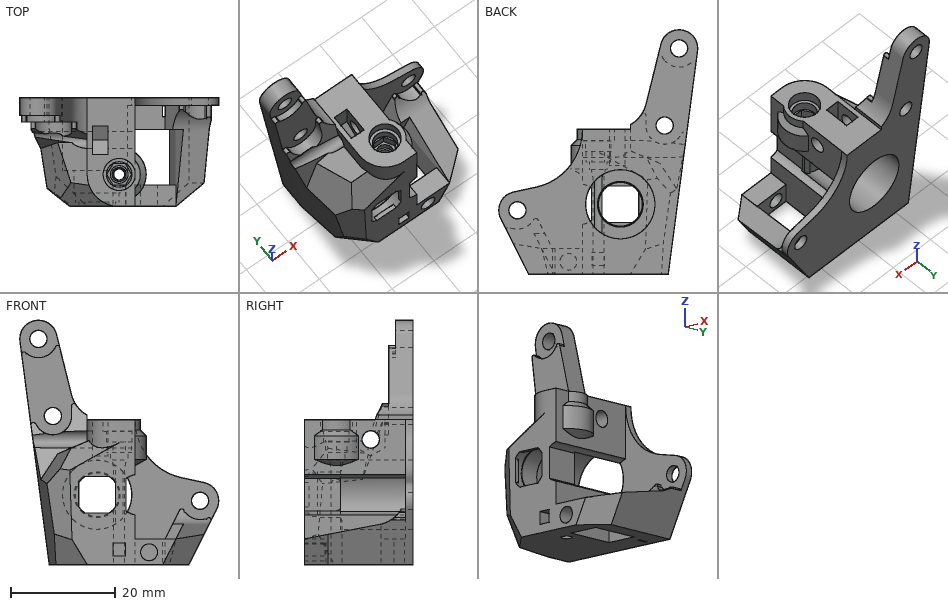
import math

import cadquery as cq


TOTAL_WIDTH = 38.24
TOTAL_DEPTH = 20.9
TOTAL_HEIGHT = 47.01
FAR = 100.0

LUG_RADIUS = 3.6
SCREW_DIAMETER = 3.25
UPPER_LUG = (LUG_RADIUS, TOTAL_HEIGHT - LUG_RADIUS)
MIDDLE_LUG = (6.37, 28.6)
RIGHT_LUG = (TOTAL_WIDTH - LUG_RADIUS, 12.32)
UPPER_LUG_THICKNESS = 3.4
ARM_THICKNESS = 4.7
PLATE_THICKNESS = 1.5
TIP_RADIUS = 0.45
MIDDLE_LUG_LEFT_TIP = (2.58, 26.93)
MIDDLE_LUG_RIGHT_TIP = (MIDDLE_LUG[0] + LUG_RADIUS + TIP_RADIUS, 30.54)

BLOCK_LEFT = 12.96
BLOCK_RIGHT = 22.16
BLOCK_TOP = 27.93
BLOCK_CORNER_RADIUS = 6.15
BLOCK_BASE = 19.0
BOSS_CENTER = (BLOCK_LEFT + BLOCK_CORNER_RADIUS, BLOCK_CORNER_RADIUS - TOTAL_DEPTH)

FLOOR_LEFT = 5.66
FLOOR_RIGHT = 32.47
ARM_ROOT_X = 11.15
ARM_FILLET = 6.3
PLATE_CORNER = (BLOCK_RIGHT, 18.72)
PLATE_FILLET = 11.3

FRONT = -TOTAL_DEPTH
SIDE_FOLD_Y = (-5.95, -6.2)
FLOOR_SIDE = (6.85, -15.0, 0.0)
LOW_SIDE = (6.65, -18.2, 5.84)
LOW_FRONT = (10.05, FRONT, 4.85)
MID_BACK = (4.05, -9.77, 16.43)
MID_SIDE = (5.24, -17.4, 15.6)
MID_FRONT = (9.62, FRONT, 18.2)
HIGH_CORNER = (9.85, -16.33, 22.4)
HIGH_BACK = (7.3, -8.72, 21.35)
CREASE_FRONT = (19.05, FRONT, 23.45)
ROOF_AT_BLOCK = (BLOCK_LEFT, -10.0, 23.77)
SLOPE_TOP_LEFT = (2.2, -5.9, 27.2)
SLOPE_TOP_RIGHT = (BLOCK_LEFT, -7.3, BLOCK_TOP)

FRAME_HEIGHT = 5.0
POCKET_BACK = -6.15
POCKET_FRONT = -16.75
POCKET_RIGHT_FLOOR = 28.74
WALL_INNER_BACK = 27.94
WALL_INNER_FRONT = 30.0
CORNER_CUT_FLOOR = (27.45, FRONT, 0.0)
CORNER_CUT_TOP = (WALL_INNER_FRONT, FRONT, FRAME_HEIGHT)
CORNER_CUT_SIDE = (35.24, -16.5, 5.75)
RAMP_BACK = (-6.4, 7.8)
RAMP_FRONT = (FRONT, FRAME_HEIGHT)
RAMP_CORNER_FILLET = 6.0
RAMP_TOP = 15.0

BOSS_RADIUS = 5.2
BOSS_NECK_RADIUS = 4.05
BOSS_CHAMFER_TOP = 25.92
BOSS_CHAMFER_BASE = 24.8
BOSS_BASE = 20.27
BOSS_CONE_TIP_RADIUS = 3.05
BOSS_CONE_BASE = 19.1
BOSS_STEPS = [(3.08, 2.3), (2.45, 4.3)]
HEX_ACROSS_FLATS = 4.13
HEX_DEPTH = 6.3
SEAT_RADIUS = 1.7
SEAT_DEPTH = 7.8
FILAMENT_RADIUS = 1.05
FILAMENT_ENTRY_RADIUS = 1.35
FILAMENT_ENTRY_DEPTH = 9.3

BORE_CENTER = (14.87, 13.48)
BORE_STEPS = [(6.64, 14.0), (4.4, 18.35)]
WINDOW_WALL = 0.9
WINDOW_SIZE = 7.0
WINDOW_CORNER_RADIUS = 4.2
NOTCH_X = 20.44
IDLER_X = 22.9
IDLER_RADIUS = 3.95

CROSS_Y = -8.15
CROSS_Z = 24.1
CROSS_DIAMETER = 3.3
NUT_WIDTH = 5.5
NUT_THICKNESS = 3.0
NUT_CENTER_X = 15.46

SQUARE_CENTER = (19.1, 2.98)
SQUARE_WIDTH = 2.45
SQUARE_HEIGHT = 2.55
SQUARE_DEPTH = 4.0
FRONT_HOLE_CENTER = (24.85, 2.43)
SLOT_WIDTH = 0.5
SLOT_Y = (-3.65, -1.65)


def forward(depth_start=0.0):
    """XZ sketch plane; positive extrusion runs forward (-Y) from the given depth."""
    return cq.Workplane("XZ", origin=(0, -depth_start, 0))


def box(x_range, y_range, z_range):
    size = [high - low for low, high in (x_range, y_range, z_range)]
    return cq.Workplane("XY").box(*size, centered=False).translate((x_range[0], y_range[0], z_range[0]))


def beyond(a, b, c, outward):
    """Everything on the outward side of the plane through three points."""
    normal = (cq.Vector(*b) - cq.Vector(*a)).cross(cq.Vector(*c) - cq.Vector(*a))
    if normal.dot(cq.Vector(*outward)) < 0:
        normal = normal * -1
    return cq.Workplane(cq.Plane(origin=a, normal=normal.toTuple())).rect(FAR, FAR).extrude(FAR)


def tangent_point(point, center, radius, side):
    """Where a line from point touches a circle; side is +1 or -1 for the two choices."""
    dx = point[0] - center[0]
    dz = point[1] - center[1]
    angle = math.atan2(dz, dx) + side * math.acos(radius / math.hypot(dx, dz))
    return (center[0] + radius * math.cos(angle), center[1] + radius * math.sin(angle))


def tip_center(lug, edge_start, edge_end):
    """Center of the round tip that touches the lug circle and an edge with material on its left."""
    length = math.dist(edge_start, edge_end)
    along = ((edge_end[0] - edge_start[0]) / length, (edge_end[1] - edge_start[1]) / length)
    start = (edge_start[0] - along[1] * TIP_RADIUS, edge_start[1] + along[0] * TIP_RADIUS)
    to_lug = (lug[0] - start[0], lug[1] - start[1])
    run = to_lug[0] * along[0] + to_lug[1] * along[1]
    offset = to_lug[1] * along[0] - to_lug[0] * along[1]
    half_chord = math.sqrt((LUG_RADIUS + TIP_RADIUS) ** 2 - offset**2)
    step = run - half_chord if along[1] > 0 else run + half_chord
    return (start[0] + along[0] * step, start[1] + along[1] * step)


FLOOR_LEFT_CORNER = (FLOOR_LEFT, 0.0)
FLOOR_RIGHT_CORNER = (FLOOR_RIGHT, 0.0)
ARM_ROOT = (ARM_ROOT_X, BLOCK_TOP)
LEFT_TANGENT = tangent_point(FLOOR_LEFT_CORNER, UPPER_LUG, LUG_RADIUS, -1)
ARM_TANGENT = tangent_point(ARM_ROOT, UPPER_LUG, LUG_RADIUS, 1)
RIGHT_TANGENT = tangent_point(FLOOR_RIGHT_CORNER, RIGHT_LUG, LUG_RADIUS, 1)
PLATE_TANGENT = tangent_point(PLATE_CORNER, RIGHT_LUG, LUG_RADIUS, -1)
SIDE_FOLD_LOW = (FLOOR_LEFT, SIDE_FOLD_Y[0], 0.0)
SIDE_FOLD_HIGH = (LEFT_TANGENT[0], SIDE_FOLD_Y[1], LEFT_TANGENT[1])
RIGHT_SLOPE = (RIGHT_TANGENT[0] - FLOOR_RIGHT) / RIGHT_TANGENT[1]


def on_right_slope(x_at_frame_top, z):
    """X at height z of a line parallel to the right-hand edge of the part."""
    return x_at_frame_top + RIGHT_SLOPE * (z - FRAME_HEIGHT)


def plate_outline(thickness):
    """Arm, tower back and right-hand lug as one flat plate."""
    lug_top = (UPPER_LUG[0], UPPER_LUG[1] + LUG_RADIUS)
    lug_right = (RIGHT_LUG[0] + LUG_RADIUS, RIGHT_LUG[1])
    plate = (
        forward()
        .moveTo(*FLOOR_LEFT_CORNER)
        .lineTo(*FLOOR_RIGHT_CORNER)
        .lineTo(*RIGHT_TANGENT)
        .threePointArc(lug_right, PLATE_TANGENT)
        .lineTo(*PLATE_CORNER)
        .lineTo(PLATE_CORNER[0], BLOCK_TOP)
        .lineTo(*ARM_ROOT)
        .lineTo(*ARM_TANGENT)
        .threePointArc(lug_top, LEFT_TANGENT)
        .close()
        .extrude(thickness)
    )
    for corner, radius in ((PLATE_CORNER, PLATE_FILLET), (ARM_ROOT, ARM_FILLET)):
        edge_point = (corner[0], -thickness / 2, corner[1])
        plate = plate.edges(cq.NearestToPointSelector(edge_point)).fillet(radius)
    above_tower = box((BLOCK_LEFT, FAR), (-FAR, FAR), (BLOCK_TOP, FAR))
    return plate.cut(above_tower)


def back_plate():
    right_part = box((BLOCK_RIGHT, FAR), (-FAR, -PLATE_THICKNESS), (0, FAR))
    return plate_outline(ARM_THICKNESS).cut(right_part)


def faceted_shell():
    """Left half of the housing: a block trimmed by flat facets."""
    shell = box((0, BLOCK_RIGHT), (FRONT, 0), (0, BLOCK_TOP))
    facets = [
        (FLOOR_SIDE, LOW_SIDE, LOW_FRONT, (0, -1, -1)),
        (MID_SIDE, MID_FRONT, LOW_FRONT, (-1, -1, 0)),
        (MID_BACK, MID_SIDE, HIGH_CORNER, (-1, 0, 1)),
        (HIGH_CORNER, MID_FRONT, CREASE_FRONT, (0, -1, 1)),
        (HIGH_BACK, HIGH_CORNER, ROOF_AT_BLOCK, (0, 0, 1)),
    ]
    for a, b, c, outward in facets:
        shell = shell.cut(beyond(a, b, c, outward))
    return shell.intersect(plate_outline(TOTAL_DEPTH))


def arm_slope():
    """Steep face that leads from the shell roof up to the arm."""
    wedge = plate_outline(TOTAL_DEPTH / 2)
    wedge = wedge.cut(box((BLOCK_RIGHT, FAR), (-FAR, FAR), (0, FAR)))
    return wedge.cut(beyond(MID_BACK, SLOPE_TOP_LEFT, SLOPE_TOP_RIGHT, (0, -1, 1)))


def tower_block():
    block = box((BLOCK_LEFT, BLOCK_RIGHT), (FRONT, 0), (BLOCK_BASE, BLOCK_TOP))
    return block.edges("|Z and <X and <Y").fillet(BLOCK_CORNER_RADIUS)


def boss():
    half_profile = [
        (0, BOSS_CONE_BASE),
        (BOSS_CONE_TIP_RADIUS, BOSS_CONE_BASE),
        (BOSS_RADIUS, BOSS_BASE),
        (BOSS_RADIUS, BOSS_CHAMFER_BASE),
        (BOSS_NECK_RADIUS, BOSS_CHAMFER_TOP),
        (BOSS_NECK_RADIUS, BLOCK_TOP),
        (0, BLOCK_TOP),
    ]
    turned = cq.Workplane("XZ").polyline(half_profile).close().revolve(360, (0, 0), (0, 1))
    right_half = box((BOSS_CENTER[0], FAR), (-FAR, FAR), (0, FAR))
    return turned.translate((*BOSS_CENTER, 0)).intersect(right_half)


def right_frame():
    """Low frame and leaning wall that carry the right-hand lug."""
    wall_top_x = on_right_slope(FLOOR_RIGHT + RIGHT_SLOPE * FRAME_HEIGHT, RAMP_TOP)
    band = [(BLOCK_RIGHT, 0), FLOOR_RIGHT_CORNER, (wall_top_x, RAMP_TOP), (BLOCK_RIGHT, RAMP_TOP)]
    frame = forward().polyline(band).close().extrude(TOTAL_DEPTH)
    ramp_slope = (RAMP_BACK[1] - RAMP_FRONT[1]) / (RAMP_BACK[0] - RAMP_FRONT[0])
    corner_z = RAMP_BACK[1] - ramp_slope * (RAMP_BACK[0] + PLATE_THICKNESS)
    ramp = [
        (0, 0),
        (FRONT, 0),
        RAMP_FRONT,
        (-PLATE_THICKNESS, corner_z),
        (-PLATE_THICKNESS, RAMP_TOP),
        (0, RAMP_TOP),
    ]
    side = cq.Workplane("YZ").polyline(ramp).close().extrude(FAR)
    corner = cq.NearestToPointSelector((FAR / 2, -PLATE_THICKNESS, corner_z))
    frame = frame.intersect(side.edges(corner).fillet(RAMP_CORNER_FILLET))

    for inner_x, front, back in (
        (WALL_INNER_BACK, POCKET_BACK, -PLATE_THICKNESS),
        (WALL_INNER_FRONT, FRONT, POCKET_BACK),
    ):
        opening = [
            (BLOCK_RIGHT, FRAME_HEIGHT),
            (inner_x, FRAME_HEIGHT),
            (on_right_slope(inner_x, RAMP_TOP), RAMP_TOP),
            (BLOCK_RIGHT, RAMP_TOP),
        ]
        frame = frame.cut(forward(-back).polyline(opening).close().extrude(back - front))

    frame = frame.cut(beyond(CORNER_CUT_FLOOR, CORNER_CUT_TOP, CORNER_CUT_SIDE, (1, -1, 0)))
    pocket = [
        (BLOCK_RIGHT, 0),
        (POCKET_RIGHT_FLOOR, 0),
        (WALL_INNER_FRONT, FRAME_HEIGHT),
        (BLOCK_RIGHT, FRAME_HEIGHT),
    ]
    pocket_depth = POCKET_BACK - POCKET_FRONT
    frame = frame.cut(forward(-POCKET_BACK).polyline(pocket).close().extrude(pocket_depth))
    slot = box((WALL_INNER_BACK - SLOT_WIDTH, WALL_INNER_BACK), SLOT_Y, (0, FRAME_HEIGHT))
    return frame.cut(slot).intersect(plate_outline(TOTAL_DEPTH))


def lug_clearance(lug, depth, left_tip, right_tip):
    """Room for a screw head in front of a lug, leaving a rounded tip at each side."""
    side_room = 4.0
    edge = [
        (left_tip[0] - side_room, left_tip[1]),
        left_tip,
        right_tip,
        (right_tip[0] + side_room, right_tip[1]),
        (right_tip[0] + side_room, TOTAL_HEIGHT),
        (left_tip[0] - side_room, TOTAL_HEIGHT),
    ]
    room = forward(depth).polyline(edge).close().extrude(TOTAL_DEPTH)
    tips = forward(depth).pushPoints([left_tip, right_tip]).circle(TIP_RADIUS).extrude(TOTAL_DEPTH)
    room = room.cut(tips)
    return room.union(forward(depth).center(*lug).circle(LUG_RADIUS).extrude(TOTAL_DEPTH))


def cut_lugs(body):
    upper_tips = (
        tip_center(UPPER_LUG, LEFT_TANGENT, FLOOR_LEFT_CORNER),
        tip_center(UPPER_LUG, ARM_ROOT, ARM_TANGENT),
    )
    wall_edge_top = (on_right_slope(WALL_INNER_BACK, RAMP_TOP), RAMP_TOP)
    right_tips = (
        tip_center(RIGHT_LUG, wall_edge_top, (WALL_INNER_BACK, FRAME_HEIGHT)),
        tip_center(RIGHT_LUG, FLOOR_RIGHT_CORNER, RIGHT_TANGENT),
    )
    body = body.cut(lug_clearance(UPPER_LUG, UPPER_LUG_THICKNESS, *upper_tips))
    body = body.cut(lug_clearance(MIDDLE_LUG, ARM_THICKNESS, MIDDLE_LUG_LEFT_TIP, MIDDLE_LUG_RIGHT_TIP))
    beside_middle = (MIDDLE_LUG[0], MIDDLE_LUG[0] + LUG_RADIUS)
    body = body.cut(box(beside_middle, (-FAR, -ARM_THICKNESS), (MIDDLE_LUG[1], TOTAL_HEIGHT)))
    body = body.cut(lug_clearance(RIGHT_LUG, PLATE_THICKNESS, *right_tips))
    holes = forward().pushPoints([UPPER_LUG, MIDDLE_LUG, RIGHT_LUG]).circle(SCREW_DIAMETER / 2)
    return body.cut(holes.extrude(TOTAL_DEPTH))


def boss_hole():
    top = cq.Workplane("XY", origin=(*BOSS_CENTER, BLOCK_TOP))
    hole = top.circle(FILAMENT_RADIUS).extrude(-BLOCK_TOP)
    for radius, depth in (*BOSS_STEPS, (SEAT_RADIUS, SEAT_DEPTH)):
        hole = hole.union(top.circle(radius).extrude(-depth))
    seat = top.workplane(offset=-SEAT_DEPTH)
    entry_height = FILAMENT_ENTRY_DEPTH - SEAT_DEPTH
    entry = seat.circle(FILAMENT_ENTRY_RADIUS).workplane(offset=-entry_height).circle(FILAMENT_RADIUS).loft()
    hole = hole.union(entry)
    hex_diameter = HEX_ACROSS_FLATS / math.cos(math.pi / 6)
    return hole.union(top.polygon(6, hex_diameter).extrude(-HEX_DEPTH))


def gear_bore():
    """Stepped gear bore, its front window and the notch for an idler gear beside it."""
    axis = forward().center(*BORE_CENTER)
    bore = axis.circle(WINDOW_CORNER_RADIUS).extrude(TOTAL_DEPTH - WINDOW_WALL)
    for radius, depth in BORE_STEPS:
        bore = bore.union(axis.circle(radius).extrude(depth))
    round_window = axis.circle(WINDOW_CORNER_RADIUS).extrude(TOTAL_DEPTH)
    square = axis.rect(WINDOW_SIZE, WINDOW_SIZE).extrude(TOTAL_DEPTH)
    idler_axis = forward(PLATE_THICKNESS).center(IDLER_X, BORE_CENTER[1])
    idler = idler_axis.circle(IDLER_RADIUS).extrude(TOTAL_DEPTH)
    notch = idler.intersect(box((NOTCH_X, BLOCK_RIGHT), (-FAR, 0), (0, BLOCK_TOP)))
    return bore.union(round_window.intersect(square)).union(notch)


def cross_screw():
    """Screw channel along X, with a slot for a hexagon nut that stands on one corner."""
    channel = cq.Workplane("YZ").center(CROSS_Y, CROSS_Z).circle(CROSS_DIAMETER / 2).extrude(TOTAL_WIDTH)
    half_width = NUT_WIDTH / 2
    nut_corner = NUT_WIDTH / math.sqrt(3)
    slot_outline = [
        (-half_width, BLOCK_TOP - CROSS_Z),
        (-half_width, -nut_corner / 2),
        (0, -nut_corner),
        (half_width, -nut_corner / 2),
        (half_width, BLOCK_TOP - CROSS_Z),
    ]
    slot_plane = cq.Workplane("YZ", origin=(NUT_CENTER_X, CROSS_Y, CROSS_Z))
    slot = slot_plane.polyline(slot_outline).close().extrude(NUT_THICKNESS / 2, both=True)
    return channel.union(slot)


def front_holes():
    front = forward(TOTAL_DEPTH)
    square = front.center(*SQUARE_CENTER).rect(SQUARE_WIDTH, SQUARE_HEIGHT).extrude(-SQUARE_DEPTH)
    front_wall = POCKET_FRONT - FRONT
    hole = front.center(*FRONT_HOLE_CENTER).circle(SCREW_DIAMETER / 2).extrude(-front_wall)
    return square.union(hole)


body = faceted_shell().union(arm_slope())
body = body.cut(beyond(SIDE_FOLD_LOW, SIDE_FOLD_HIGH, MID_SIDE, (-1, 0, 0)))
body = body.union(back_plate()).union(tower_block()).union(boss()).union(right_frame())
body = cut_lugs(body)
for tool in (boss_hole(), gear_bore(), cross_screw(), front_holes()):
    body = body.cut(tool)
result = body